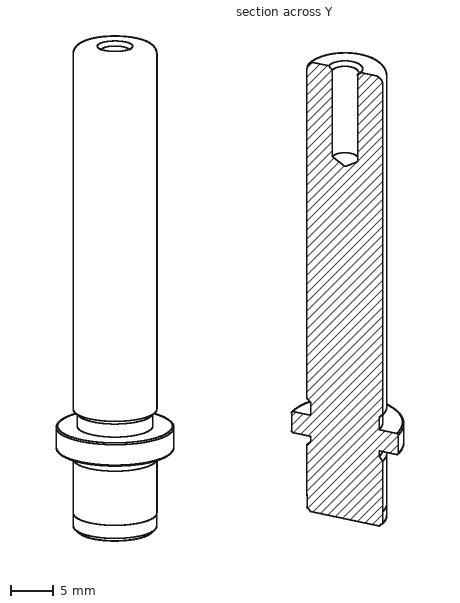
import cadquery as cq
import math

length = 60.0
shaft_radius = 5.0
neck_radius = 4.5
flange_radius = 14.0 / 2
lead_relief = 0.02
lead_radius = shaft_radius - lead_relief

lead_height = 2.1
lower_neck_start = 8.8
flange_bottom = 10.0
flange_top = 12.9
upper_neck_end = 15.0

neck_chamfer = shaft_radius - neck_radius
bottom_chamfer = 0.5
flange_chamfer = 0.2
tip_fillet = 1.0

hole_radius = 1.6
countersink_radius = 2.1
hole_depth = 12.0
drill_point_angle = 118.0


def cylinder(radius, bottom, top):
    """Cylinder on the Z axis between two heights."""
    return cq.Workplane("XY").workplane(offset=bottom).circle(radius).extrude(top - bottom)


def make_base():
    """Press-fit end with a slightly smaller lead-in at the bottom."""
    lead = cylinder(lead_radius, 0, lead_height).faces("<Z").chamfer(bottom_chamfer)
    seat = cylinder(shaft_radius, lead_height, lower_neck_start + neck_chamfer)
    return lead.union(seat.faces(">Z").chamfer(neck_chamfer))


def make_shaft():
    """Long guide shaft with a rounded tip and a chamfer above the neck."""
    shaft = cylinder(shaft_radius, upper_neck_end - neck_chamfer, length)
    return shaft.faces("<Z").chamfer(neck_chamfer).faces(">Z").fillet(tip_fillet)


def make_flange():
    """Collar with both rims chamfered."""
    return cylinder(flange_radius, flange_bottom, flange_top).edges().chamfer(flange_chamfer)


def make_hole():
    """Countersunk blind hole with a conical drill point."""
    countersink_depth = countersink_radius - hole_radius
    point_depth = hole_radius / math.tan(math.radians(drill_point_angle / 2))
    return (
        cq.Workplane("XZ")
        .moveTo(0, length)
        .lineTo(countersink_radius, length)
        .lineTo(hole_radius, length - countersink_depth)
        .lineTo(hole_radius, length - hole_depth)
        .lineTo(0, length - hole_depth - point_depth)
        .close()
        .revolve(360, (0, 0, 0), (0, 1, 0))
    )


neck = cylinder(neck_radius, lower_neck_start, upper_neck_end)
result = make_base().union(neck).union(make_flange()).union(make_shaft()).cut(make_hole())